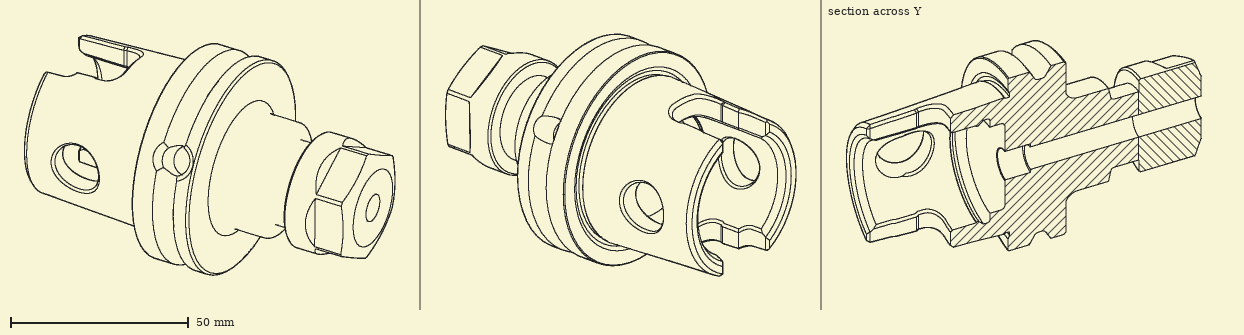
import cadquery as cq
import math

TOTAL_LENGTH = 99.95
TOLERANCE = 0.01

FLANGE_FACE = 39.8
TAPER_END = 38.6
TAPER_TIP_RADIUS = 23.2
TAPER_BASE_RADIUS = 24.9
TIP_CHAMFER_LENGTH = 1.3
TIP_FACE_RADIUS = 22.2
TAPER_RELIEF = 0.3

MOUTH_RADIUS = 20.1
MOUTH_CHAMFER_RADIUS = 18.8
MOUTH_CHAMFER_DEPTH = 0.8
CAVITY_RADIUS = 17.6
LEAD_IN_ANGLE = 30.0
CAVITY_DEPTH = 30.0
LIP_RADIUS = 17.3
LIP_LENGTH = 0.7
UNDERCUT_RADIUS = 18.8
UNDERCUT_END = 34.2
UNDERCUT_FILLET = 0.8
RECESS_RADIUS = 15.6
RECESS_END = 38.8
RECESS_FILLET = 1.2
BORE_RADIUS = 4.0
COUNTERBORE_RADIUS = 5.1
COUNTERBORE_CHAMFER = 0.2
COUNTERBORE_DEPTH = 8.0

SLOT_END = 21.9
SLOT_HALF_WIDTH = 8.0
SLOT_TIP_CLEARANCE = 0.2
SLOT_TIP_FLARE = 0.8
SLOT_TIP_CLEARANCE_LENGTH = 7.8
SLOT_RELIEF = 0.4
SLOT_RELIEF_START = 15.2
SLOT_RAMP_LENGTH = 0.8
SLOT_CORNER_RADIUS = 4.3
SLOT_NOTCH_DEPTH = 2.1
SLOT_NOTCH_LENGTH = 5.9
SLOT_NOTCH_RADIUS = 3.5
SLOT_CHAMFER = 1.0
SLOT_INNER_CHAMFER = 0.6

CROSS_HOLE_X = 17.4
CROSS_HOLE_RADIUS = 7.2
CROSS_HOLE_CHAMFER = 0.8
CROSS_HOLE_INNER_CHAMFER = 0.6
CROSS_HOLE_TILT = 25.0
CROSS_HOLE_BRANCH_Y = 23.0
CROSS_HOLE_BRANCH_LENGTH = 12.0

FLANGE_RADIUS = 31.5
FLANGE_END = 57.9
FLANGE_FRONT_CHAMFER = 0.3
FLANGE_BACK_CHAMFER = 0.7
FACE_GROOVE_RADIUS = 27.0
FACE_GROOVE_FLOOR_RADIUS = 25.8
FACE_GROOVE_DEPTH = 0.5
GROOVE_START = 46.5
GROOVE_END = 53.2
GROOVE_RADIUS = 27.9
GROOVE_FLANK_ANGLE = 30.0
GROOVE_FILLET = 0.9

POCKET_X = 50.8
POCKET_ANGLE = 30.0
POCKET_FLOOR = 21.7
LARGE_POCKET_RADIUS = 4.3
LARGE_POCKET_RIM_RADIUS = 6.3
DRILL_POINT_ANGLE = 118.0
SMALL_POCKET_RADIUS = 3.8

COLLAR_RADIUS = 17.0
COLLAR_START = 61.7
COLLAR_END = 71.3
COLLAR_ROUND = 0.6
COLLAR_FILLET = 4.0
NECK_RADIUS = 12.5
COLLAR_FACE_LEAN = 0.6
NECK_FILLET = 1.0

NUT_START = 80.5
NUT_RADIUS = 17.0
NUT_CHAMFER = 0.6
NUT_FLAT_DISTANCE = 15.0
NUT_FLATS = 6
NUT_FLAT_START = 89.7
NUT_TURN = -1.3
NUT_END_CHAMFER = 1.9
NUT_END_RADIUS = 11.4


def revolved(half_section):
    """Turn a closed half section, drawn in (x, radius), about the X axis."""
    return half_section.close().revolve(360, (0, 0, 0), (1, 0, 0))


def taper_radius(x):
    slope = (TAPER_BASE_RADIUS - TAPER_TIP_RADIUS) / (TAPER_END - TIP_CHAMFER_LENGTH)
    return TAPER_TIP_RADIUS + slope * (x - TIP_CHAMFER_LENGTH)


def shank_blank():
    """Taper without its tip chamfer, reaching the floor of the groove in the flange face."""
    relief_radius = TAPER_BASE_RADIUS - TAPER_RELIEF
    return revolved(
        cq.Workplane("XY")
        .moveTo(0, 0)
        .lineTo(0, taper_radius(0))
        .lineTo(TAPER_END, TAPER_BASE_RADIUS)
        .lineTo(TAPER_END + TAPER_RELIEF, relief_radius)
        .lineTo(FLANGE_FACE + FACE_GROOVE_DEPTH, relief_radius)
        .lineTo(FLANGE_FACE + FACE_GROOVE_DEPTH, 0)
    )


def cavity():
    """Mouth cones, cavity wall, undercut behind the lip, and recess with its bore."""
    lead_in_length = (MOUTH_CHAMFER_RADIUS - CAVITY_RADIUS) / math.tan(math.radians(LEAD_IN_ANGLE))
    lip_end = CAVITY_DEPTH + LIP_LENGTH
    return revolved(
        cq.Workplane("XY")
        .moveTo(0, 0)
        .lineTo(0, MOUTH_RADIUS)
        .lineTo(MOUTH_CHAMFER_DEPTH, MOUTH_CHAMFER_RADIUS)
        .lineTo(MOUTH_CHAMFER_DEPTH + lead_in_length, CAVITY_RADIUS)
        .lineTo(CAVITY_DEPTH, CAVITY_RADIUS)
        .lineTo(CAVITY_DEPTH, LIP_RADIUS)
        .lineTo(lip_end, LIP_RADIUS)
        .lineTo(lip_end + UNDERCUT_RADIUS - LIP_RADIUS, UNDERCUT_RADIUS)
        .lineTo(UNDERCUT_END - UNDERCUT_FILLET, UNDERCUT_RADIUS)
        .radiusArc((UNDERCUT_END, UNDERCUT_RADIUS - UNDERCUT_FILLET), UNDERCUT_FILLET)
        .lineTo(UNDERCUT_END, RECESS_RADIUS)
        .lineTo(RECESS_END - RECESS_FILLET, RECESS_RADIUS)
        .radiusArc((RECESS_END, RECESS_RADIUS - RECESS_FILLET), RECESS_FILLET)
        .lineTo(RECESS_END, COUNTERBORE_RADIUS + COUNTERBORE_CHAMFER)
        .lineTo(RECESS_END + COUNTERBORE_CHAMFER, COUNTERBORE_RADIUS)
        .lineTo(RECESS_END + COUNTERBORE_DEPTH, COUNTERBORE_RADIUS)
        .lineTo(RECESS_END + COUNTERBORE_DEPTH, BORE_RADIUS)
        .lineTo(NUT_START, BORE_RADIUS)
        .lineTo(NUT_START, 0)
    )


def drive_slot():
    """Slot cutter through both sides of the shank tip, with a notch at the -Y corner."""
    tip_half = SLOT_HALF_WIDTH + SLOT_TIP_CLEARANCE
    relief_half = SLOT_HALF_WIDTH + SLOT_RELIEF
    notch_half = SLOT_HALF_WIDTH + SLOT_NOTCH_DEPTH
    relief_ramp_end = SLOT_RELIEF_START + SLOT_RAMP_LENGTH
    notch_run = math.sqrt(SLOT_NOTCH_RADIUS**2 - (SLOT_NOTCH_RADIUS - SLOT_NOTCH_DEPTH) ** 2)
    corner_x = SLOT_END - SLOT_CORNER_RADIUS
    corner_y = relief_half - SLOT_CORNER_RADIUS
    return (
        cq.Workplane("XY")
        .moveTo(0, tip_half + SLOT_TIP_FLARE)
        .lineTo(SLOT_TIP_FLARE, tip_half)
        .lineTo(SLOT_TIP_CLEARANCE_LENGTH, tip_half)
        .lineTo(SLOT_TIP_CLEARANCE_LENGTH + SLOT_RAMP_LENGTH, SLOT_HALF_WIDTH)
        .lineTo(SLOT_RELIEF_START, SLOT_HALF_WIDTH)
        .lineTo(relief_ramp_end, relief_half)
        .lineTo(corner_x, relief_half)
        .radiusArc((SLOT_END, corner_y), SLOT_CORNER_RADIUS)
        .lineTo(SLOT_END, -corner_y)
        .radiusArc((corner_x, -relief_half), SLOT_CORNER_RADIUS)
        .lineTo(relief_ramp_end, -relief_half)
        .lineTo(SLOT_RELIEF_START, -SLOT_HALF_WIDTH)
        .lineTo(SLOT_NOTCH_LENGTH + notch_run, -SLOT_HALF_WIDTH)
        .radiusArc((SLOT_NOTCH_LENGTH, -notch_half), SLOT_NOTCH_RADIUS)
        .lineTo(SLOT_TIP_FLARE, -notch_half)
        .lineTo(0, -notch_half - SLOT_TIP_FLARE)
        .close()
        .extrude(FLANGE_RADIUS, both=True)
    )


def on_slot_rim(edge, wall_radius):
    """True for the edges where the drive slot meets a shank wall of the given radius."""
    middle = edge.positionAt(0.5)
    on_wall = abs(math.hypot(middle.y, middle.z) - wall_radius) < TOLERANCE
    in_slot = abs(middle.y) < SLOT_HALF_WIDTH + SLOT_NOTCH_DEPTH + TOLERANCE
    return on_wall and in_slot and TOLERANCE < middle.x < SLOT_END + TOLERANCE


def on_outer_slot_rim(edge):
    return on_slot_rim(edge, taper_radius(edge.positionAt(0.5).x))


def on_inner_slot_rim(edge):
    return on_slot_rim(edge, CAVITY_RADIUS)


def on_cross_hole_rim(edge):
    middle = edge.Center()
    return abs(middle.x - CROSS_HOLE_X) < CROSS_HOLE_RADIUS / 2 and abs(middle.y) > SLOT_HALF_WIDTH * 1.5


def on_outer_hole_rim(edge):
    return on_cross_hole_rim(edge) and abs(edge.Center().y) > (CAVITY_RADIUS + TAPER_TIP_RADIUS) / 2


def on_inner_hole_rim(edge):
    return on_cross_hole_rim(edge) and abs(edge.Center().y) < CAVITY_RADIUS


def cross_hole_branch(side):
    """Cylinder that leaves a cross hole at the outside of the wall and leans towards the tip inside."""
    tilt = math.radians(CROSS_HOLE_TILT)
    start = cq.Vector(CROSS_HOLE_X, side * CROSS_HOLE_BRANCH_Y, 0)
    direction = cq.Vector(-math.sin(tilt), -side * math.cos(tilt), 0)
    return cq.Solid.makeCylinder(CROSS_HOLE_RADIUS, CROSS_HOLE_BRANCH_LENGTH, start, direction)


def chamfered(body, is_rim, size):
    rims = [edge for edge in body.edges().vals() if is_rim(edge)]
    return body.newObject(rims).chamfer(size)


def tip_chamfer():
    """Ring outside the conical chamfer of the shank tip."""
    return revolved(
        cq.Workplane("XY")
        .moveTo(0, TIP_FACE_RADIUS)
        .lineTo(TIP_CHAMFER_LENGTH, TAPER_TIP_RADIUS)
        .lineTo(TIP_CHAMFER_LENGTH, FLANGE_RADIUS)
        .lineTo(0, FLANGE_RADIUS)
    )


def shank():
    cross_holes = (
        cq.Workplane("XZ")
        .center(CROSS_HOLE_X, 0)
        .circle(CROSS_HOLE_RADIUS)
        .extrude(FLANGE_RADIUS, both=True)
    )
    slotted = shank_blank().cut(cavity()).cut(drive_slot())
    slotted = chamfered(slotted, on_outer_slot_rim, SLOT_CHAMFER)
    slotted = chamfered(slotted, on_inner_slot_rim, SLOT_INNER_CHAMFER)
    drilled = chamfered(slotted.cut(cross_holes), on_outer_hole_rim, CROSS_HOLE_CHAMFER)
    drilled = chamfered(drilled, on_inner_hole_rim, CROSS_HOLE_INNER_CHAMFER)
    for side in (1, -1):
        drilled = drilled.cut(cq.Workplane(cross_hole_branch(side)))
    return drilled.cut(tip_chamfer())


def flange_and_neck():
    """Flange, collar and neck, without the groove around the flange."""
    neck_start = COLLAR_END + COLLAR_FACE_LEAN + NECK_FILLET
    fillet_run = COLLAR_START - FLANGE_END
    fillet_rise = COLLAR_FILLET - math.sqrt(COLLAR_FILLET**2 - fillet_run**2)
    return revolved(
        cq.Workplane("XY")
        .moveTo(FLANGE_FACE + FACE_GROOVE_DEPTH, 0)
        .lineTo(FLANGE_FACE + FACE_GROOVE_DEPTH, FACE_GROOVE_FLOOR_RADIUS)
        .lineTo(FLANGE_FACE, FACE_GROOVE_RADIUS)
        .lineTo(FLANGE_FACE, FLANGE_RADIUS - FLANGE_FRONT_CHAMFER)
        .lineTo(FLANGE_FACE + FLANGE_FRONT_CHAMFER, FLANGE_RADIUS)
        .lineTo(FLANGE_END - FLANGE_BACK_CHAMFER, FLANGE_RADIUS)
        .lineTo(FLANGE_END, FLANGE_RADIUS - FLANGE_BACK_CHAMFER)
        .lineTo(FLANGE_END, COLLAR_RADIUS + fillet_rise)
        .radiusArc((COLLAR_START, COLLAR_RADIUS), -COLLAR_FILLET)
        .lineTo(COLLAR_END - COLLAR_ROUND, COLLAR_RADIUS)
        .radiusArc((COLLAR_END, COLLAR_RADIUS - COLLAR_ROUND), COLLAR_ROUND)
        .lineTo(neck_start - NECK_FILLET, NECK_RADIUS + NECK_FILLET)
        .radiusArc((neck_start, NECK_RADIUS), -NECK_FILLET)
        .lineTo(NUT_START, NECK_RADIUS)
        .lineTo(NUT_START, 0)
    )


def gripper_groove():
    """Ring with a trapezoidal section and rounded floor corners."""
    flank_run = (FLANGE_RADIUS - GROOVE_RADIUS) * math.tan(math.radians(GROOVE_FLANK_ANGLE))
    ring = revolved(
        cq.Workplane("XY")
        .moveTo(GROOVE_START, FLANGE_RADIUS)
        .lineTo(GROOVE_START + flank_run, GROOVE_RADIUS)
        .lineTo(GROOVE_END - flank_run, GROOVE_RADIUS)
        .lineTo(GROOVE_END, FLANGE_RADIUS)
    )
    floor_corners = cq.selectors.RadiusNthSelector(0)
    return ring.edges("%CIRCLE").edges(floor_corners).fillet(GROOVE_FILLET)


def placed_pocket(half_section, angle):
    """Turn a pocket's half section, drawn in (radius, distance from the X axis), and aim it outwards."""
    pocket = half_section.close().revolve(360, (0, 0, 0), (0, 1, 0))
    return pocket.rotate((0, 0, 0), (1, 0, 0), angle).translate((POCKET_X, 0, 0))


def large_pocket():
    """Drilled pocket with a countersunk rim, on the -Y side."""
    point_depth = LARGE_POCKET_RADIUS / math.tan(math.radians(DRILL_POINT_ANGLE / 2))
    rim_depth = LARGE_POCKET_RIM_RADIUS - LARGE_POCKET_RADIUS
    half_section = (
        cq.Workplane("XY")
        .moveTo(0, POCKET_FLOOR - point_depth)
        .lineTo(LARGE_POCKET_RADIUS, POCKET_FLOOR)
        .lineTo(LARGE_POCKET_RADIUS, FLANGE_RADIUS - rim_depth)
        .lineTo(LARGE_POCKET_RIM_RADIUS + rim_depth, FLANGE_RADIUS + rim_depth)
        .lineTo(0, FLANGE_RADIUS + rim_depth)
    )
    return placed_pocket(half_section, 180 - POCKET_ANGLE)


def small_pocket():
    """Plain flat-bottomed pocket, on the +Y side."""
    half_section = (
        cq.Workplane("XY")
        .moveTo(0, POCKET_FLOOR)
        .lineTo(SMALL_POCKET_RADIUS, POCKET_FLOOR)
        .lineTo(SMALL_POCKET_RADIUS, FLANGE_RADIUS)
        .lineTo(0, FLANGE_RADIUS)
    )
    return placed_pocket(half_section, POCKET_ANGLE)


def make_holder():
    body = flange_and_neck().cut(gripper_groove()).cut(large_pocket()).cut(small_pocket())
    return shank().union(body.cut(cavity()))


def wrench_flat(index):
    """Cutter for one wrench flat and its 45 degree run-out."""
    flat_depth = NUT_RADIUS - NUT_FLAT_DISTANCE
    reach = 2 * flat_depth
    return (
        cq.Workplane("XY")
        .moveTo(TOTAL_LENGTH, NUT_FLAT_DISTANCE)
        .lineTo(NUT_FLAT_START, NUT_FLAT_DISTANCE)
        .lineTo(NUT_FLAT_START - reach, NUT_FLAT_DISTANCE + reach)
        .lineTo(TOTAL_LENGTH, NUT_FLAT_DISTANCE + reach)
        .close()
        .extrude(NUT_RADIUS, both=True)
        .rotate((0, 0, 0), (1, 0, 0), NUT_TURN + index * 360 / NUT_FLATS)
    )


def make_nut():
    nut = revolved(
        cq.Workplane("XY")
        .moveTo(NUT_START, BORE_RADIUS)
        .lineTo(NUT_START, NUT_RADIUS - NUT_CHAMFER)
        .lineTo(NUT_START + NUT_CHAMFER, NUT_RADIUS)
        .lineTo(TOTAL_LENGTH - NUT_END_CHAMFER, NUT_RADIUS)
        .lineTo(TOTAL_LENGTH, NUT_END_RADIUS)
        .lineTo(TOTAL_LENGTH, BORE_RADIUS)
    )
    for index in range(NUT_FLATS):
        nut = nut.cut(wrench_flat(index))
    return nut


holder = make_holder()
nut = make_nut()
result = cq.Compound.makeCompound([holder.val(), nut.val()])